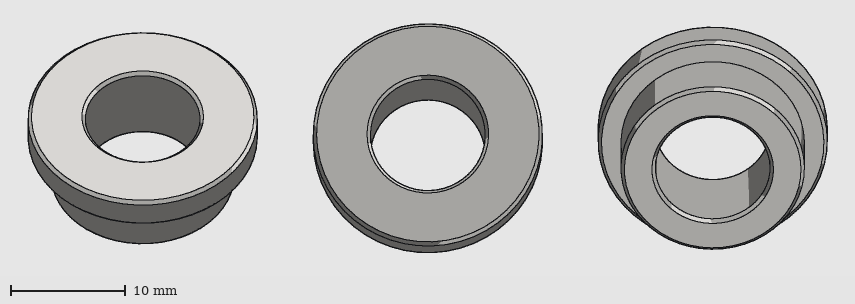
import cadquery as cq

flange_diameter = 20
body_diameter = 16
bore_diameter = 10
total_height = 8
flange_thickness = 3
chamfer_size = 0.3

body_height = total_height - flange_thickness


def chamfered_disc(diameter, height):
    """Solid disc standing on Z = 0 with both rims chamfered."""
    disc = cq.Workplane("XY").circle(diameter / 2).extrude(height)
    return disc.edges("%CIRCLE").chamfer(chamfer_size)


flange = chamfered_disc(flange_diameter, flange_thickness).translate((0, 0, body_height))

body = cq.Workplane("XY").circle(body_diameter / 2).extrude(body_height)
body = body.faces("<Z").edges().chamfer(chamfer_size)

bore = cq.Workplane("XY").circle(bore_diameter / 2).extrude(total_height)
mouth = (
    cq.Workplane("XY")
    .circle(bore_diameter / 2 + chamfer_size)
    .workplane(offset=chamfer_size)
    .circle(bore_diameter / 2)
    .loft(combine=True)
)
top_mouth = mouth.mirror("XY").translate((0, 0, total_height))

result = flange.union(body).cut(bore).cut(mouth).cut(top_mouth)